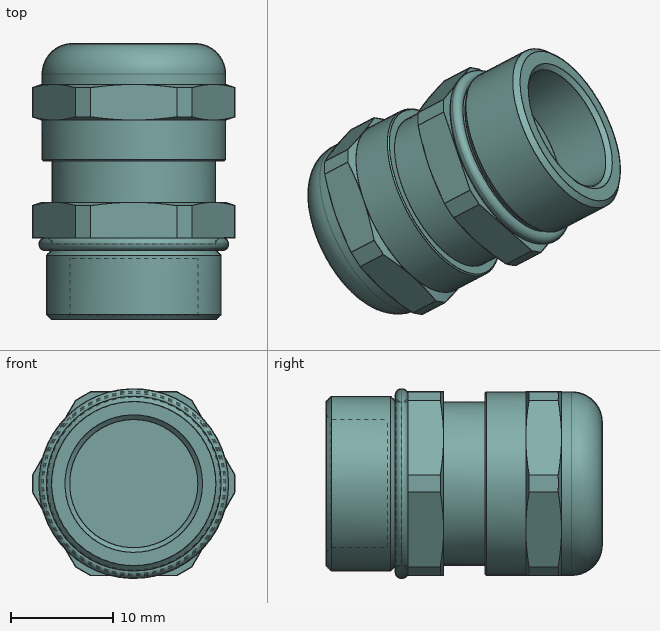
import cadquery as cq

total_length = 27.0
thread_back = 6.8
body_hex_front = 8.0
body_hex_back = 11.48
nut_front = 15.52
nut_hex_front = 19.52
nut_hex_back = 23.0

thread_radius = 8.545
thread_end_chamfer = 0.5
neck_radius = 8.005
collar_radius = 8.978
collar_edge_chamfer = 0.14
dome_fillet = 3.0

hex_sides = 6
half_hex_turn = 180 / hex_sides
across_flats = 17.98
across_corners = 19.8
hex_chamfer_start_radius = 9.0
hex_chamfer_rise = 0.32
blank_radius = 9.94

ring_outer_radius = 9.275
ring_section_radius = 0.635
ring_overlap = 0.03

bore_radius = 6.26
bore_depth = 6.0
bore_chamfer = 0.45


def cylinder(radius, start, end):
    """Round bar along +Y between two axial positions."""
    return cq.Workplane("XZ", origin=(0, start, 0)).circle(radius).extrude(start - end)


def hex_prism(flats, turn, start, end):
    """Hexagonal bar along +Y whose corners face Z before it is turned about Y."""
    outline = cq.Workplane("XZ", origin=(0, start, 0)).polygon(hex_sides, flats, circumscribed=True)
    return outline.extrude(start - end).rotate((0, 0, 0), (0, 1, 0), turn)


def revolve_about_y(outline):
    """Solid of revolution from (radius, y) points."""
    return cq.Workplane("XY").polyline(outline).close().revolve(360, (0, 0, 0), (0, 1, 0))


def chamfered_blank(start, end, front_rise, back_rise):
    """Turned blank whose conical ends bevel the corners of a wrench hexagon."""
    outline = [
        (0, start),
        (hex_chamfer_start_radius, start),
        (blank_radius, start + front_rise),
        (blank_radius, end - back_rise),
        (hex_chamfer_start_radius, end),
        (0, end),
    ]
    return revolve_about_y(outline)


def wrench_hex(start, end, front_rise, back_rise):
    """Hexagon with flattened corners and bevelled ends."""
    hexagon = hex_prism(across_flats, half_hex_turn, start, end)
    corner_cut = hex_prism(across_corners, 0, start, end)
    return hexagon.intersect(corner_cut).intersect(chamfered_blank(start, end, front_rise, back_rise))


def threaded_body():
    """Plain thread cylinder, central neck and fixed wrench hexagon."""
    thread = cylinder(thread_radius, 0, thread_back).faces("<Y or >Y").chamfer(thread_end_chamfer)
    neck = cylinder(neck_radius, thread_end_chamfer, nut_hex_front)
    body_hex = wrench_hex(body_hex_front, body_hex_back, 0, hex_chamfer_rise)
    return thread.union(neck).union(body_hex)


def dome_nut():
    """Clamping nut with a round collar, a hexagon and a domed end."""
    barrel = cylinder(collar_radius, nut_front, total_length)
    barrel = barrel.faces("<Y").chamfer(collar_edge_chamfer)
    barrel = barrel.faces(">Y").edges().fillet(dome_fillet)
    return barrel.union(wrench_hex(nut_hex_front, nut_hex_back, hex_chamfer_rise, hex_chamfer_rise))


def sealing_ring():
    """O-ring around the neck, touching the front of the body hexagon."""
    centre_radius = ring_outer_radius - ring_section_radius
    centre_y = body_hex_front - ring_section_radius + ring_overlap
    section = cq.Workplane("XY").center(centre_radius, centre_y).circle(ring_section_radius)
    return section.revolve(360, (-centre_radius, 0, 0), (-centre_radius, 1, 0))


def bore():
    """Flat-bottomed blind bore with a chamfered mouth."""
    mouth_radius = bore_radius + bore_chamfer
    outline = [
        (0, 0),
        (mouth_radius, 0),
        (bore_radius, bore_chamfer),
        (bore_radius, bore_depth),
        (0, bore_depth),
    ]
    return revolve_about_y(outline)


result = threaded_body().union(dome_nut()).union(sealing_ring()).cut(bore())